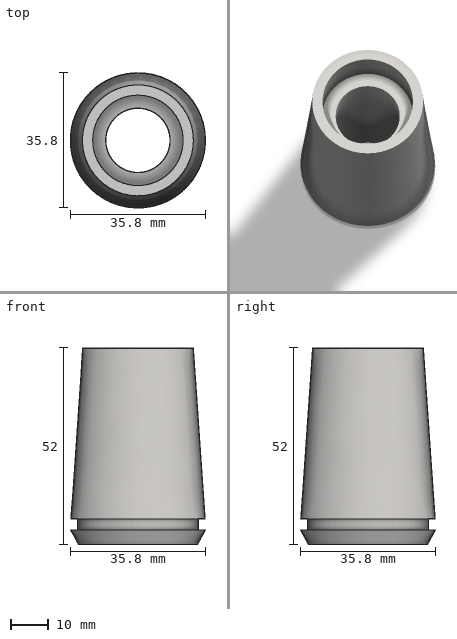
import cadquery as cq

height = 52.0
rim_height = 3.95
sleeve_base = 6.8

rim_bottom_radius = 15.7
rim_radius = 17.9
neck_radius = 16.0
sleeve_base_radius = 17.8
sleeve_top_radius = 14.65

through_radius = 8.5
counterbore_radius = 11.95
counterbore_depth = 10.55


def outer_body():
    """Tapered sleeve above a grooved neck and a flared bottom rim."""
    profile = (
        cq.Workplane("XZ")
        .lineTo(rim_bottom_radius, 0)
        .lineTo(rim_radius, rim_height)
        .lineTo(neck_radius, rim_height)
        .lineTo(neck_radius, sleeve_base)
        .lineTo(sleeve_base_radius, sleeve_base)
        .lineTo(sleeve_top_radius, height)
        .lineTo(0, height)
        .close()
    )
    return profile.revolve(360, (0, 0, 0), (0, 1, 0))


def stepped_bore(body):
    """Through bore with a wider counterbore at the top."""
    return (
        body.faces(">Z")
        .workplane(origin=(0, 0, height))
        .cboreHole(2 * through_radius, 2 * counterbore_radius, counterbore_depth)
    )


result = stepped_bore(outer_body())